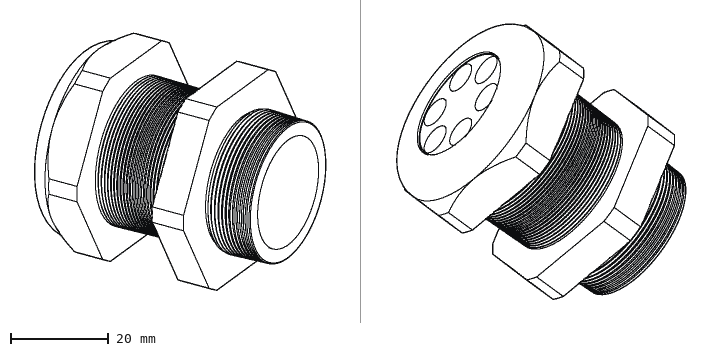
import cadquery as cq
import math

OVERALL_LENGTH = 49.8
CAP_BACK = 13.3
COLLAR_FRONT = 31.3
COLLAR_BACK = 38.85

ACROSS_FLATS = 41.9
ACROSS_ROUNDED_CORNERS = 46.5

DOME_RADIUS = ACROSS_FLATS / 2
DOME_FILLET = 3.9
DOME_LENGTH = 4.25

FLANK_HALF_ANGLE = math.radians(36)
CAP_THREAD_START = 12.9
CAP_THREAD_PITCH = 0.75
CAP_THREAD_TURNS = 25
CAP_THREAD_ROOT = 15.55
CAP_THREAD_FIRST_HEIGHT = 0.5
CAP_THREAD_LAST_HEIGHT = 0.075

END_THREAD_SPAN = 9.5
END_THREAD_TURNS = 11
END_THREAD_PITCH = END_THREAD_SPAN / END_THREAD_TURNS
END_THREAD_START = OVERALL_LENGTH - END_THREAD_SPAN
END_THREAD_ROOT = 14.9
END_THREAD_FIRST_HEIGHT = 0.55
END_THREAD_LAST_HEIGHT = 0.25

NECK_RADIUS = 14.55
NECK_RIM_RADIUS = 15.25
NECK_RIM_X = 39.8
NECK_BLEND_RADIUS = 1.1

RECESS_RADIUS = 12.45
RECESS_DEPTH = 0.5
SEAT_RADIUS = 12.2
SEAT_END = COLLAR_FRONT
PASSAGE_RADIUS = 12.0

CABLE_HOLES = 6
CABLE_HOLE_RADIUS = 3.3
CABLE_CIRCLE_RADIUS = 8.8


def revolve_about_x(points):
    profile = cq.Workplane("XY").polyline(points).close()
    return profile.revolve(360, (0, 0, 0), (1, 0, 0))


def cylinder(start, end, radius):
    return cq.Workplane("YZ", origin=(start, 0, 0)).circle(radius).extrude(end - start)


def rounded_hexagon(start, end):
    """Hexagonal prism with flats on top and bottom and its corners turned to a cylinder."""
    across_corners = ACROSS_FLATS / math.cos(math.pi / 6)
    prism = cq.Workplane("YZ", origin=(start, 0, 0)).polygon(6, across_corners).extrude(end - start)
    return prism.intersect(cylinder(start, end, ACROSS_ROUNDED_CORNERS / 2))


def cap():
    corner_radius = ACROSS_ROUNDED_CORNERS / 2
    chamfer_end = DOME_LENGTH + corner_radius - DOME_RADIUS
    envelope = revolve_about_x([
        (DOME_LENGTH, 0),
        (DOME_LENGTH, DOME_RADIUS),
        (chamfer_end, corner_radius),
        (CAP_BACK, corner_radius),
        (CAP_BACK, 0),
    ])
    dome = cylinder(0, DOME_LENGTH, DOME_RADIUS).faces("<X").edges().fillet(DOME_FILLET)
    return rounded_hexagon(DOME_LENGTH, CAP_BACK).intersect(envelope).union(dome)


def thread_points(start, pitch, turns, root, first_height, last_height):
    """Outline of the rings from root to root; their heights run evenly from first to last."""
    points = [(start, root)]
    for turn in range(turns):
        ring_start = start + turn * pitch
        ring_end = ring_start + pitch
        height = first_height + (last_height - first_height) * turn / (turns - 1)
        flank = height * math.tan(FLANK_HALF_ANGLE)
        crest = root + height
        points += [(ring_start + flank, crest), (ring_end - flank, crest), (ring_end, root)]
    return points


def cap_thread():
    rings = thread_points(
        CAP_THREAD_START, CAP_THREAD_PITCH, CAP_THREAD_TURNS,
        CAP_THREAD_ROOT, CAP_THREAD_FIRST_HEIGHT, CAP_THREAD_LAST_HEIGHT,
    )
    thread_end = CAP_THREAD_START + CAP_THREAD_TURNS * CAP_THREAD_PITCH
    return revolve_about_x([(CAP_THREAD_START, 0), *rings, (thread_end, 0)])


def end_thread():
    rings = thread_points(
        END_THREAD_START, END_THREAD_PITCH, END_THREAD_TURNS,
        END_THREAD_ROOT, END_THREAD_FIRST_HEIGHT, END_THREAD_LAST_HEIGHT,
    )
    profile = (
        cq.Workplane("XY")
        .moveTo(COLLAR_BACK, 0)
        .lineTo(COLLAR_BACK, NECK_RADIUS)
        .radiusArc((NECK_RIM_X, NECK_RIM_RADIUS), -NECK_BLEND_RADIUS)
    )
    for point in rings:
        profile = profile.lineTo(*point)
    profile = profile.lineTo(OVERALL_LENGTH, 0).close()
    return profile.revolve(360, (0, 0, 0), (1, 0, 0))


def make_housing():
    collar = rounded_hexagon(COLLAR_FRONT, COLLAR_BACK)
    solid = cap().union(cap_thread()).union(collar).union(end_thread())
    recess = cylinder(0, RECESS_DEPTH, RECESS_RADIUS)
    seat = cylinder(0, SEAT_END, SEAT_RADIUS)
    passage = cylinder(0, OVERALL_LENGTH, PASSAGE_RADIUS)
    return solid.cut(recess).cut(seat).cut(passage)


def make_insert():
    plug = cylinder(RECESS_DEPTH, SEAT_END, SEAT_RADIUS)
    holes = (
        cq.Workplane("YZ", origin=(RECESS_DEPTH, 0, 0))
        .polarArray(CABLE_CIRCLE_RADIUS, 90, 360, CABLE_HOLES)
        .circle(CABLE_HOLE_RADIUS)
        .extrude(SEAT_END - RECESS_DEPTH)
    )
    return plug.cut(holes)


housing = make_housing()
insert = make_insert()
result = cq.Compound.makeCompound([housing.val(), insert.val()])